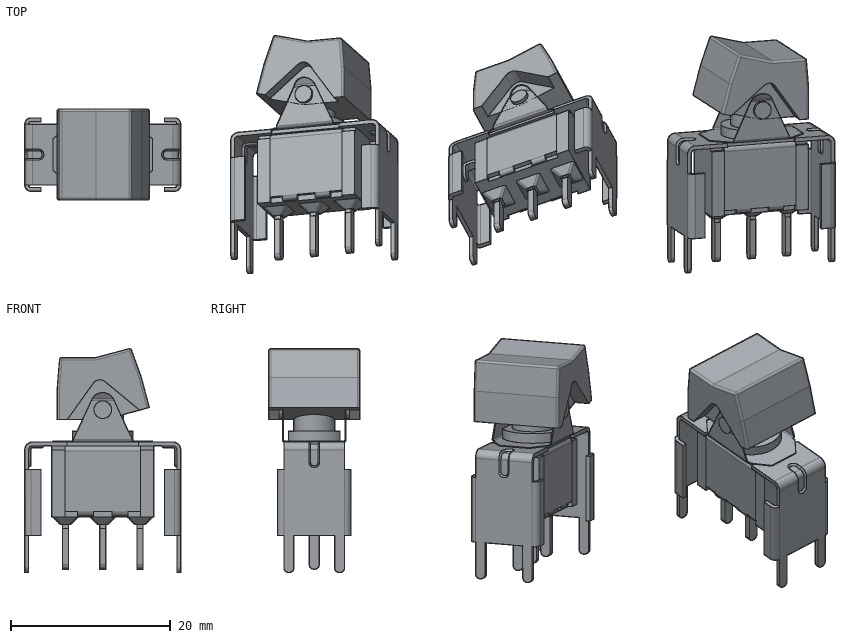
import cadquery as cq
import math


sheet = 0.5
bracket_length = 19.56
bracket_width = 7.62
bracket_bend = 1.0
web_bottom = -11.74
leg_width = 1.27
leg_bottom = -16.38
tip_radius = 0.6
notch_length = 8.94
notch_depth = 0.45

wing_top = -3.46
wing_reach = 2.06
wing_bend = 0.8

dimple_width = 1.36
dimple_floor_width = 0.96
dimple_depth = 0.27
dimple_top_length = 2.4
dimple_side_length = 3.2

body_length = 12.8
body_width = 6.78
ledge_depth = 0.5
ledge_height = -1.05
body_bottom = -9.41
clip_length = 9.5
clip_width = 6.82
clip_bottom = -8.73
clip_fold = 0.65
clip_tab_length = 1.95
clip_tab_spacing = 4.32
clip_tab_bottom = -9.27

terminal_pitch = 4.67
terminal_thickness = 0.76
terminal_width = 1.27
terminal_bottom = -15.97
terminal_neck_width = 1.1
terminal_neck_bottom = -10.85
collar_top_width = 3.2
collar_bottom_width = 1.3
collar_corner = 0.25
collar_bottom = -10.37

plate_thickness = 0.15
plate_rise = 0.12
plate_length = 12.44
plate_end_width = 4.0
ear_span = 8.0
ear_bend = 0.3
ear_base_width = 7.4
ear_slope = 25.0
ear_tip_radius = 1.5
ear_tip_height = 4.68
lip_start = 5.18
lip_bend = 0.44
lip_angle = 30.0
pin_diameter = 2.2
pin_proud = 0.43
pivot_height = 4.03

base_diameter = 7.63
base_width = 6.5
base_height = 1.34
neck_diameter = 5.2

rocker_width = 11.43
rocker_tilt = 7.5
rocker_edge_round = 0.3
rocker_reach = 5.72
rocker_shoulder_reach = 5.4
rocker_below_pivot = 1.26
rocker_side_bend = 2.66
rocker_above_pivot = 6.535
gable_apex = 4.24
gable_half_angle = 43.0
gable_round = 1.0
gable_leg = 9.0


def block(x_size, y_size, z_low, z_high):
    """Box centred on the Z axis between two heights."""
    return cq.Workplane("XY").workplane(offset=z_low).rect(x_size, y_size).extrude(z_high - z_low)


def both_ends(solid):
    """The solid together with its mirror image at the other X end."""
    return solid.union(solid.mirror("YZ"))


def both_sides(solid):
    """The solid together with its mirror image at the other Y side."""
    return solid.union(solid.mirror("XZ"))


def bracket():
    tall = block(bracket_length, bracket_width, leg_bottom, 0)
    tall = tall.edges("|Y and >Z").fillet(bracket_bend)
    inner = block(bracket_length - 2 * sheet, bracket_width, leg_bottom, -sheet)
    inner = inner.edges("|Y and >Z").fillet(bracket_bend - sheet)
    shell = tall.cut(inner)
    shell = shell.cut(block(bracket_length, bracket_width - 2 * leg_width, leg_bottom, web_bottom))
    shell = shell.edges("|X and <Z").fillet(tip_radius)
    notch_y = (bracket_width - notch_depth) / 2
    notch = block(notch_length, notch_depth, -sheet, 0).translate((0, notch_y, 0))
    return shell.cut(both_sides(notch))


def wing():
    """Flange of one leg, bent inwards at the -X, -Y corner."""
    outer_x = -bracket_length / 2
    bend_x = outer_x + wing_bend
    bend_y = -bracket_width / 2
    inner_bend = wing_bend - sheet
    diagonal = math.sqrt(0.5)
    profile = (
        cq.Workplane("XY").workplane(offset=web_bottom)
        .moveTo(outer_x, bend_y)
        .threePointArc((bend_x - wing_bend * diagonal, bend_y - wing_bend * diagonal),
                       (bend_x, bend_y - wing_bend))
        .lineTo(outer_x + wing_reach, bend_y - wing_bend)
        .lineTo(outer_x + wing_reach, bend_y - inner_bend)
        .lineTo(bend_x, bend_y - inner_bend)
        .threePointArc((bend_x - inner_bend * diagonal, bend_y - inner_bend * diagonal),
                       (outer_x + sheet, bend_y))
        .close()
    )
    return profile.extrude(wing_top - web_bottom)


def dimple(depth):
    """Tapered ridge round the -X bracket corner, pressed inwards from a given depth in the sheet."""
    end_x = -bracket_length / 2
    bend_x = end_x + bracket_bend
    half_outer = dimple_width / 2
    half_floor = dimple_floor_width / 2
    draft = math.degrees(math.atan((half_outer - half_floor) / dimple_depth))

    top_slot = 2 * (dimple_top_length - bracket_bend)
    top = (
        cq.Workplane("XY", origin=(bend_x, 0, -depth))
        .slot2D(top_slot, dimple_width).extrude(-dimple_depth, taper=draft)
    )
    top = top.intersect(cq.Workplane("XY").box(top_slot, dimple_width, 2 * bracket_bend)
                        .translate((bend_x + top_slot / 2, 0, 0)))
    side_slot = 2 * (dimple_side_length - bracket_bend)
    side = (
        cq.Workplane("YZ", origin=(end_x + depth, 0, -bracket_bend))
        .slot2D(side_slot, dimple_width, 90).extrude(dimple_depth, taper=draft)
    )
    side = side.intersect(cq.Workplane("XY").box(4 * bracket_bend, dimple_width, side_slot)
                          .translate((end_x, 0, -bracket_bend - side_slot / 2)))

    outer_radius = bracket_bend - depth
    floor_radius = outer_radius - dimple_depth
    corner = (
        cq.Workplane("YZ", origin=(bend_x, 0, -bracket_bend))
        .polyline([(-half_outer, outer_radius), (half_outer, outer_radius),
                   (half_floor, floor_radius), (-half_floor, floor_radius)])
        .close().revolve(90, (0, 0, 0), (-1, 0, 0))
    )
    return top.union(side).union(corner)


def body():
    housing = block(body_length, body_width, body_bottom, -sheet)
    ledge_y = (body_width - ledge_depth) / 2
    ledge = block(body_length, ledge_depth, ledge_height, -sheet).translate((0, ledge_y, 0))
    groove_y = (body_width - sheet) / 2
    groove = block(clip_length, sheet, body_bottom, -sheet).translate((0, groove_y, 0))
    housing = housing.cut(both_sides(ledge)).cut(both_sides(groove))
    clip = block(clip_length, clip_width, clip_bottom, -sheet)
    clip = clip.edges("|X and >Z").fillet(clip_fold)
    tab = block(clip_tab_length, clip_width, clip_tab_bottom, clip_bottom)
    tab = tab.edges("|X and <Z").fillet(sheet)
    for side in (-1, 1):
        clip = clip.union(tab.translate((side * clip_tab_spacing / 2, 0, 0)))
    return housing.union(clip)


def rounded_square(width, corner):
    return cq.Sketch().rect(width, width).vertices().fillet(corner)


def terminal(x):
    """Flat pin with a narrower neck, held by a tapered collar under the body."""
    blade = block(terminal_thickness, terminal_width, terminal_bottom, terminal_neck_bottom)
    blade = blade.edges("|X and <Z").fillet(tip_radius)
    neck = block(terminal_thickness, terminal_neck_width, terminal_neck_bottom, body_bottom)
    collar = (
        cq.Workplane("XY", origin=(0, 0, body_bottom))
        .placeSketch(rounded_square(collar_top_width, collar_corner),
                     rounded_square(collar_bottom_width, collar_corner)
                     .moved(cq.Location(cq.Vector(0, 0, collar_bottom - body_bottom))))
        .loft()
    )
    return blade.union(neck).union(collar).translate((x, 0, 0))


def plate():
    """Thin plate whose corners slope from its narrow ends to the feet of the ears."""
    z_low = plate_rise - plate_thickness
    end_x = plate_length / 2
    end_y = plate_end_width / 2
    ear_x = ear_base_width / 2
    ear_y = ear_span / 2
    octagon = (
        cq.Workplane("XY").workplane(offset=z_low)
        .polyline([(-end_x, -end_y), (-ear_x, -ear_y), (ear_x, -ear_y), (end_x, -end_y),
                   (end_x, end_y), (ear_x, ear_y), (-ear_x, ear_y), (-end_x, end_y)])
        .close().extrude(plate_thickness)
    )
    return octagon.intersect(block(plate_length, ear_span - 2 * ear_bend, z_low, plate_rise))


def ear():
    """Ear on the -Y side: bent up from the plate, its rounded tip flared outwards."""
    face_y = -ear_span / 2
    z_low = plate_rise - plate_thickness
    tip_top = ear_tip_height + ear_tip_radius
    flare = math.radians(lip_angle)
    inner_lip_bend = lip_bend + plate_thickness
    bend_y = face_y - lip_bend
    outer_bend_end = (bend_y + lip_bend * math.cos(flare), lip_start + lip_bend * math.sin(flare))
    inner_bend_end = (bend_y + inner_lip_bend * math.cos(flare),
                      lip_start + inner_lip_bend * math.sin(flare))
    outer_tip_y = outer_bend_end[0] - (tip_top - outer_bend_end[1]) * math.tan(flare)
    inner_tip_y = inner_bend_end[0] - (tip_top - inner_bend_end[1]) * math.tan(flare)
    sheet_section = (
        cq.Workplane("YZ").workplane(offset=-ear_base_width / 2)
        .moveTo(face_y + ear_bend, z_low)
        .radiusArc((face_y, z_low + ear_bend), ear_bend)
        .lineTo(face_y, lip_start)
        .radiusArc(outer_bend_end, -lip_bend)
        .lineTo(outer_tip_y, tip_top)
        .lineTo(inner_tip_y, tip_top)
        .lineTo(*inner_bend_end)
        .radiusArc((face_y + plate_thickness, lip_start), inner_lip_bend)
        .lineTo(face_y + plate_thickness, plate_rise + ear_bend - plate_thickness)
        .radiusArc((face_y + ear_bend, plate_rise), -(ear_bend - plate_thickness))
        .close().extrude(ear_base_width)
    )
    slope = math.radians(ear_slope)
    tangent_x = ear_tip_radius * math.cos(slope)
    tangent_z = ear_tip_height + ear_tip_radius * math.sin(slope)
    foot_x = ear_base_width / 2
    foot_z = tangent_z - (foot_x - tangent_x) / math.tan(slope)
    outline = (
        cq.Workplane("XZ").moveTo(-foot_x, z_low).lineTo(-foot_x, foot_z)
        .lineTo(-tangent_x, tangent_z)
        .threePointArc((0, tip_top), (tangent_x, tangent_z))
        .lineTo(foot_x, foot_z).lineTo(foot_x, z_low)
        .close().extrude(rocker_width)
    )
    pin = (
        cq.Workplane("XZ", origin=(0, 0, pivot_height))
        .circle(pin_diameter / 2).extrude(ear_span / 2 + pin_proud)
    )
    return sheet_section.intersect(outline).union(pin)


def bushing():
    base = cq.Workplane("XY").circle(base_diameter / 2).extrude(base_height)
    base = base.intersect(block(base_diameter, base_width, 0, base_height))
    neck = cq.Workplane("XY").circle(neck_diameter / 2).extrude(pivot_height)
    return base.union(neck)


def across_axis(point):
    """Reflect an (x, z) point in the tilted symmetry axis of the rocker."""
    axis_x = -math.sin(math.radians(rocker_tilt))
    axis_z = math.cos(math.radians(rocker_tilt))
    along = point[0] * axis_x + point[1] * axis_z
    return (2 * along * axis_x - point[0], 2 * along * axis_z - point[1])


def rocker():
    lean = math.tan(math.radians(rocker_tilt))
    left_side = [
        (-rocker_reach, -rocker_below_pivot),
        (-rocker_reach, rocker_side_bend),
        (-rocker_shoulder_reach, rocker_above_pivot),
    ]
    saddle = (-rocker_above_pivot * lean, rocker_above_pivot)
    keel = (rocker_below_pivot * lean, -rocker_below_pivot)
    right_side = [across_axis(point) for point in reversed(left_side)]
    cap = (
        cq.Workplane("XZ").polyline(left_side + [saddle] + right_side + [keel]).close()
        .extrude(rocker_width / 2, both=True)
    )
    half_width = rocker_width / 2
    margin = 0.01

    def near(point, y):
        return cq.selectors.BoxSelector(
            (point[0] - margin, y - margin, point[1] - margin),
            (point[0] + margin, y + margin, point[1] + margin), boundingbox=False)

    rounded = left_side + [saddle] + right_side
    edges = cap.edges(near(left_side[-1], 0)).add(cap.edges(near(right_side[0], 0)))
    for start, end in zip(rounded, rounded[1:]):
        middle = ((start[0] + end[0]) / 2, (start[1] + end[1]) / 2)
        for y in (-half_width, half_width):
            edges = edges.add(cap.edges(near(middle, y)))
    cap = edges.fillet(rocker_edge_round)

    run = gable_leg * math.sin(math.radians(gable_half_angle))
    drop = gable_leg * math.cos(math.radians(gable_half_angle))
    recess_depth = (rocker_width - ear_span) / 2 + plate_thickness
    recess = (
        cq.Workplane("XZ", origin=(0, -half_width + recess_depth, 0))
        .polyline([(-run, gable_apex - drop), (0, gable_apex), (run, gable_apex - drop)])
        .close().extrude(recess_depth)
    )
    recess = recess.edges("|Y and >Z").fillet(gable_round)
    recess = recess.rotate((0, 0, 0), (0, 1, 0), -rocker_tilt)
    return cap.cut(both_sides(recess)).translate((0, 0, pivot_height))


part = bracket()
part = part.union(both_ends(both_sides(wing())))
part = part.union(both_ends(dimple(sheet)))
part = part.cut(both_ends(dimple(0)))
part = part.union(body())
for position in (-1, 0, 1):
    part = part.union(terminal(position * terminal_pitch))
part = part.union(plate())
part = part.union(bushing())
part = part.union(rocker())
part = part.union(both_sides(ear()))
result = part